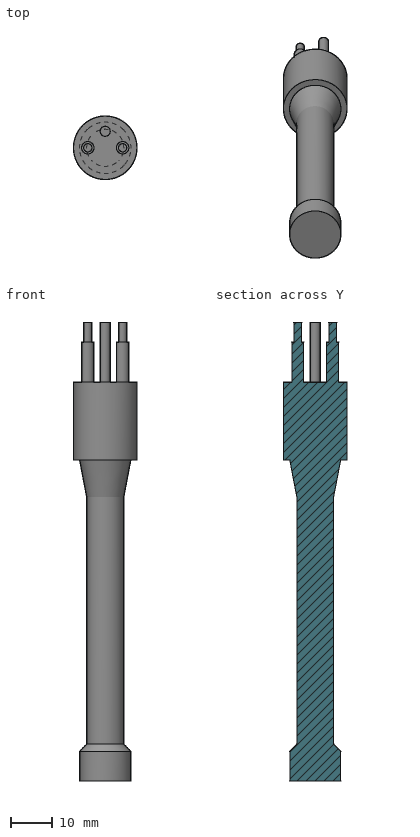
import cadquery as cq

total_height = 111.5
housing_top = 97.0
housing_height = 19.0
taper_height = 9.0

housing_diameter = 15.5
collar_diameter = 12.5
shaft_diameter = 9.0
collar_height = 7.2

ground_pin_diameter = 2.5
ground_pin_offset = 4.0
contact_diameter = 3.0
contact_tip_diameter = 2.0
contact_tip_length = 4.8
contact_offset = 4.2

housing_bottom = housing_top - housing_height
taper_bottom = housing_bottom - taper_height
housing_radius = housing_diameter / 2
collar_radius = collar_diameter / 2
shaft_radius = shaft_diameter / 2
shoulder_top = collar_height + collar_radius - shaft_radius


def make_body():
    """Collar, shaft, taper and housing turned about Z; the taper starts at the collar diameter."""
    return (
        cq.Workplane("XZ")
        .moveTo(0, 0)
        .lineTo(collar_radius, 0)
        .lineTo(collar_radius, collar_height)
        .lineTo(shaft_radius, shoulder_top)
        .lineTo(shaft_radius, taper_bottom)
        .lineTo(collar_radius, housing_bottom)
        .lineTo(housing_radius, housing_bottom)
        .lineTo(housing_radius, housing_top)
        .lineTo(0, housing_top)
        .close()
        .revolve(360, (0, 0), (0, 1))
    )


def make_pin(x, y, diameter, top):
    """Round pin standing on the top face of the housing."""
    return (
        cq.Workplane("XY", origin=(x, y, housing_top))
        .circle(diameter / 2)
        .extrude(top - housing_top)
    )


def make_contact(x):
    """Stepped pin: a thick root with a thinner tip."""
    root = make_pin(x, 0, contact_diameter, total_height - contact_tip_length)
    tip = make_pin(x, 0, contact_tip_diameter, total_height)
    return root.union(tip)


result = make_body().union(make_pin(0, ground_pin_offset, ground_pin_diameter, total_height))
for side in (-1, 1):
    result = result.union(make_contact(side * contact_offset))